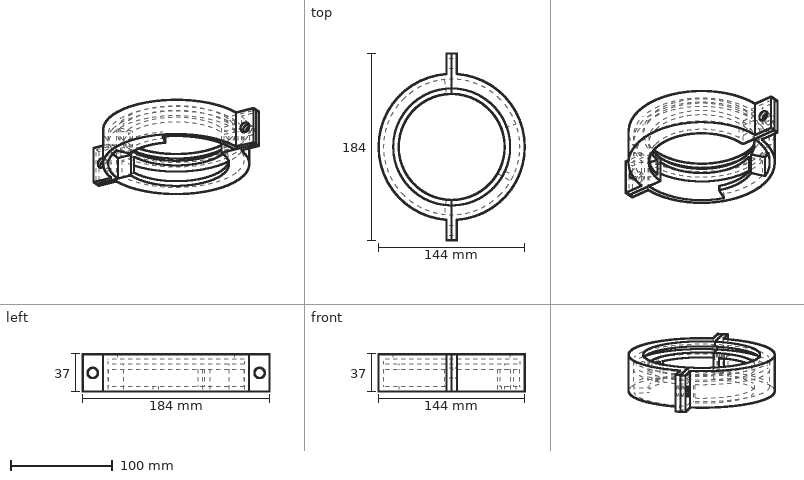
import cadquery as cq

height = 37.0
outer_radius = 144.0 / 2
lip_radius = 57.5
bore_radius = 52.0
channel_radius = 67.0
step = 5.0
lip_bottom = height - step
ledge_top = lip_bottom - step
ledge_bottom = ledge_top - step
clear_radius = bore_radius - step

overrun = 1

lug_tip = 92
lug_thickness = 5.2
lug_root = (outer_radius + channel_radius) / 2
bolt_diameter = 10.0
bolt_y = 82.0

rim_thickness = step

end_wall_angle = 6

tab_start = -24.5
tab_end = 19.7
post_angle = 5.5


def ring_sector(inner, outer, bottom, top, start, end):
    """Part of a ring between two angles in degrees, counter-clockwise from +X."""
    return (
        cq.Workplane("XZ")
        .moveTo(inner, bottom)
        .lineTo(outer, bottom)
        .lineTo(outer, top)
        .lineTo(inner, top)
        .close()
        .revolve(end - start, (0, 0), (0, 1))
        .rotate((0, 0, 0), (0, 0, 1), start)
    )


def half_blank(start):
    """Half ring from the start angle, with its top lip, slot, ledge and two drilled lugs."""
    end = start + 180
    blank = ring_sector(bore_radius, outer_radius, 0, height, start, end)
    cut_start = start - overrun
    cut_end = end + overrun
    opening = ring_sector(clear_radius, lip_radius, ledge_top, height + step, cut_start, cut_end)
    slot = ring_sector(clear_radius, channel_radius, ledge_top, lip_bottom, cut_start, cut_end)
    blank = blank.cut(opening).cut(slot)
    on_left = start > 0
    lug_centre = (lug_tip + lug_root) / 2
    for at_back in (True, False):
        lug = (
            cq.Workplane("XY")
            .box(lug_thickness, lug_tip - lug_root, height)
            .faces(">X")
            .workplane(origin=(0, bolt_y - lug_centre, 0))
            .hole(bolt_diameter)
            .translate((lug_thickness / 2, lug_centre, height / 2))
        )
        if on_left:
            lug = lug.mirror("YZ")
        if not at_back:
            lug = lug.mirror("XZ")
        blank = blank.union(lug)
    return blank


def left_half():
    """Half with an inward-facing channel closed at both ends."""
    start, end = 90, 270
    channel = ring_sector(
        clear_radius, channel_radius, rim_thickness, ledge_bottom, start + end_wall_angle, end - end_wall_angle
    )
    return half_blank(start).cut(channel)


def right_half():
    """Half opened out below its ledge, except for one retaining tab and its post."""
    start, end = -90, 90
    post_start = tab_start - post_angle
    before_post = ring_sector(clear_radius, channel_radius, -step, ledge_bottom, start - overrun, post_start)
    above_tab = ring_sector(clear_radius, channel_radius, rim_thickness, ledge_bottom, tab_start, tab_end)
    after_tab = ring_sector(clear_radius, channel_radius, -step, ledge_bottom, tab_end, end + overrun)
    return half_blank(start).cut(before_post).cut(above_tab).cut(after_tab)


left_clamp = left_half()
right_clamp = right_half()

result = cq.Compound.makeCompound([left_clamp.val(), right_clamp.val()])